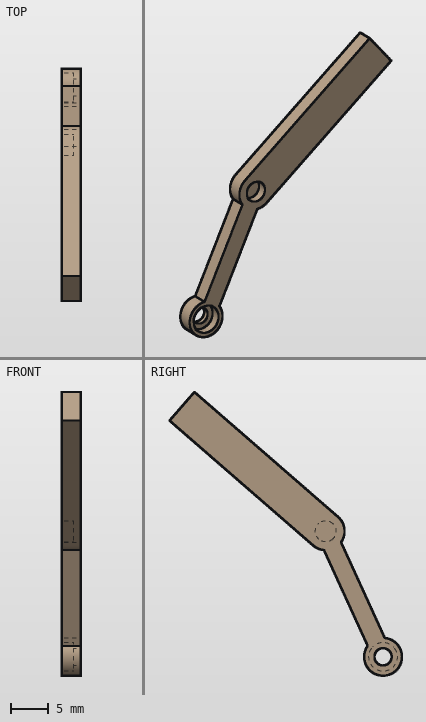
import cadquery as cq
import math

thickness = 2.55
ring_diameter = 2 * thickness
arm_width = ring_diameter
link_width = thickness

overall_height = 37.8
pivot_y = -7.65
arm_length = 25.35
arm_angle = math.radians(41)
arm_run = arm_length * math.cos(arm_angle)
arm_rise = arm_length * math.sin(arm_angle)

arm_corner_rise = arm_width / 2 * math.cos(arm_angle)
pivot_z = overall_height - ring_diameter / 2 - arm_rise - arm_corner_rise

ring_bore_diameter = 2.25
ring_recess_diameter = 3.8
ring_recess_depth = 1.6
pivot_hole_diameter = 2.8
pivot_hole_depth = 1.6

ring_center = (0, 0)
pivot_center = (pivot_y, pivot_z)
arm_end = (pivot_y - arm_run, pivot_z + arm_rise)


def cylinder(center, diameter, depth):
    """Cylinder along +X, starting at the face X = 0."""
    return cq.Workplane("YZ").center(*center).circle(diameter / 2).extrude(depth)


def bar(start, end, width):
    """Full-thickness straight bar with square ends at two (Y, Z) points."""
    run_y = end[0] - start[0]
    run_z = end[1] - start[1]
    length = math.hypot(run_y, run_z)
    side_y = -run_z / length * width / 2
    side_z = run_y / length * width / 2
    corners = [
        (start[0] + side_y, start[1] + side_z),
        (end[0] + side_y, end[1] + side_z),
        (end[0] - side_y, end[1] - side_z),
        (start[0] - side_y, start[1] - side_z),
    ]
    return cq.Workplane("YZ").polyline(corners).close().extrude(thickness)


lever = cylinder(ring_center, ring_diameter, thickness)
lever = lever.union(bar(ring_center, pivot_center, link_width))
lever = lever.union(cylinder(pivot_center, arm_width, thickness))
lever = lever.union(bar(pivot_center, arm_end, arm_width))

lever = lever.cut(cylinder(ring_center, ring_bore_diameter, thickness))
lever = lever.cut(cylinder(ring_center, ring_recess_diameter, ring_recess_depth))

lever = lever.cut(cylinder(pivot_center, pivot_hole_diameter, pivot_hole_depth))

result = lever